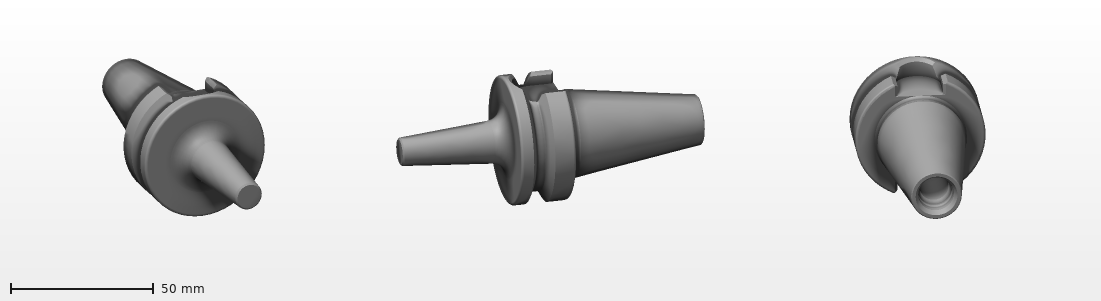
import cadquery as cq
import math

length = 108.4
flange_start = 50.3
flange_end = 70.2
flange_radius = 23.0
flange_rounding = 1.0

small_end_radius = 8.9
small_end_chamfer = 0.3
taper_slope = 7 / 48
taper_end = 46.7
groove_start = 47.7
groove_end = 49.4
shank_relief = 0.2
collar_radius = 16.3

groove_left = 58.0
groove_right = 65.7
groove_floor_radius = 18.9
groove_floor_rounding = 0.7
groove_flank_run = (flange_radius - groove_floor_radius) * math.tan(math.radians(30))

neck_start = 75.7
neck_radius = 7.6
nose_tip_radius = 5.0
nose_tip_chamfer = 0.5

slot_half_width = 8.0
slot_floor = 16.3
slot_arc_center = 59.4
slot_mouth_chamfer = 1.0
slot_side_chamfer = 1.7
slot_end_chamfer = 1.2

bore_mouth_radius = 7.4
counterbore_radius = 6.3
counterbore_depth = 4.4
pilot_radius = 6.0
pilot_depth = 6.8
bore_radius = 5.1
bore_depth = 23.8
countersink_half_angle = math.radians(30)
drill_half_angle = math.radians(59)


def revolve_about_x(profile):
    return profile.close().revolve(360, (0, 0, 0), (1, 0, 0))


def make_shank():
    end_radius = small_end_radius + taper_slope * taper_end
    relief_radius = end_radius - shank_relief
    chamfer_radius = small_end_radius + taper_slope * small_end_chamfer
    return revolve_about_x(
        cq.Workplane("XY")
        .lineTo(0, small_end_radius - small_end_chamfer)
        .lineTo(small_end_chamfer, chamfer_radius)
        .lineTo(taper_end, end_radius)
        .lineTo(groove_start, relief_radius)
        .lineTo(groove_end, relief_radius)
        .lineTo(flange_start, collar_radius)
        .lineTo(flange_start, 0)
    )


def make_flange():
    flange = revolve_about_x(
        cq.Workplane("XY").moveTo(flange_start, 0)
        .lineTo(flange_start, flange_radius)
        .lineTo(groove_left, flange_radius)
        .lineTo(groove_left + groove_flank_run, groove_floor_radius)
        .lineTo(groove_right - groove_flank_run, groove_floor_radius)
        .lineTo(groove_right, flange_radius)
        .lineTo(flange_end, flange_radius)
        .lineTo(flange_end, 0)
    )
    flange = flange.faces("<X or >X").edges().fillet(flange_rounding)
    floor_edges = cq.selectors.BoxSelector(
        (groove_left + 1.1, -flange_radius, -flange_radius),
        (groove_right - 1.1, flange_radius, flange_radius),
        boundingbox=False,
    )
    return flange.edges(floor_edges).edges("%CIRCLE").fillet(groove_floor_rounding)


def make_nose():
    slope = (neck_radius - nose_tip_radius) / (length - neck_start)
    tilt = math.atan(slope)
    neck_fillet = (neck_start - flange_end) / (1 - math.sin(tilt))
    center_x = flange_end + neck_fillet
    center_r = neck_radius + neck_fillet * math.cos(tilt)
    middle = math.radians(225)
    arc_middle = (
        center_x + neck_fillet * math.cos(middle),
        center_r + neck_fillet * math.sin(middle),
    )
    chamfer_start = length - nose_tip_chamfer
    return revolve_about_x(
        cq.Workplane("XY").moveTo(flange_end - 1.1, 0)
        .lineTo(flange_end - 1.1, center_r)
        .lineTo(flange_end, center_r)
        .threePointArc(arc_middle, (neck_start, neck_radius))
        .lineTo(chamfer_start, nose_tip_radius + slope * nose_tip_chamfer)
        .lineTo(length, nose_tip_radius - nose_tip_chamfer)
        .lineTo(length, 0)
    )


def make_bore():
    countersink_depth = (bore_mouth_radius - counterbore_radius) / math.tan(countersink_half_angle)
    step_depth = (counterbore_radius - pilot_radius) / math.tan(countersink_half_angle)
    bore_start = pilot_depth + (pilot_radius - bore_radius) / math.tan(countersink_half_angle)
    drill_point = bore_radius / math.tan(drill_half_angle)
    return revolve_about_x(
        cq.Workplane("XY")
        .lineTo(0, bore_mouth_radius)
        .lineTo(countersink_depth, counterbore_radius)
        .lineTo(counterbore_depth, counterbore_radius)
        .lineTo(counterbore_depth + step_depth, pilot_radius)
        .lineTo(pilot_depth, pilot_radius)
        .lineTo(bore_start, bore_radius)
        .lineTo(bore_depth, bore_radius)
        .lineTo(bore_depth + drill_point, 0)
    )


def make_slot():
    """Round-ended slot through the upper rim, with a flared mouth."""
    mouth_half_width = slot_half_width + slot_mouth_chamfer
    return (
        cq.Workplane("XY").workplane(offset=slot_floor)
        .moveTo(flange_start, -mouth_half_width)
        .lineTo(flange_start + slot_mouth_chamfer, -slot_half_width)
        .lineTo(slot_arc_center, -slot_half_width)
        .threePointArc((slot_arc_center + slot_half_width, 0), (slot_arc_center, slot_half_width))
        .lineTo(flange_start + slot_mouth_chamfer, slot_half_width)
        .lineTo(flange_start, mouth_half_width)
        .close()
        .extrude(flange_radius - slot_floor)
    )


def slot_rim_edges(x_start, x_end):
    """Upper and lower slot edges on the flange rim, picked by their centers."""
    half = slot_half_width + 0.1
    low = slot_floor + 2.2
    upper = cq.selectors.BoxSelector((x_start, -half, low), (x_end, half, flange_radius))
    lower = cq.selectors.BoxSelector((x_start, -half, -flange_radius), (x_end, half, -low))
    return upper + lower


flange = make_flange()
slot = make_slot()
flange = flange.cut(slot).cut(slot.mirror("XY"))
flange = flange.edges(slot_rim_edges(groove_right, flange_end)).chamfer(slot_end_chamfer)
side_edges = slot_rim_edges(flange_start + slot_mouth_chamfer, groove_left)
flange = flange.edges(side_edges).edges("|X").chamfer(slot_side_chamfer)

result = make_shank().union(flange).union(make_nose()).cut(make_bore())